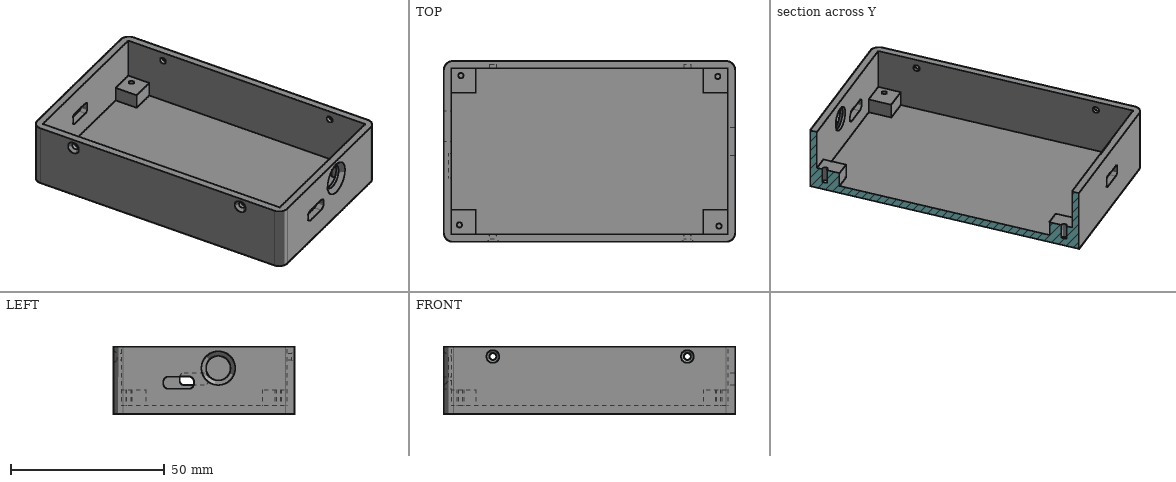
import cadquery as cq

LENGTH = 95.0
WIDTH = 59.0
HEIGHT = 22.0
CORNER_RADIUS = 3.0
WALL = 2.5
FLOOR = 2.9

POST_SIDE = 8.0
POST_HEIGHT = 5.0
POST_HOLE_DIAMETER = 1.7
POST_HOLE_DEPTH = POST_HEIGHT
POST_HOLE_CENTRES = [(-41.9, 24.7), (41.8, 24.4), (-42.4, -23.9), (42.2, -24.3)]

LID_SCREW_SPACING = 63.4
LID_SCREW_OFFSET = 0.2
LID_SCREW_DROP = 3.2
LID_SCREW_DIAMETER = 2.2
LID_SCREW_HEAD_DIAMETER = 4.2
LID_SCREW_SINK_DEPTH = 1.0

PORT_Y = -4.7
PORT_Z = 15.0
PORT_DIAMETER = 8.0
PORT_MOUTH_DIAMETER = 11.0
PORT_SINK_DEPTH = 1.5

SLOT_HEIGHT = 4.0
LEFT_SLOT_LENGTH = 10.0
LEFT_SLOT_CORNER_RADIUS = 1.7
LEFT_SLOT_Y = 8.3
LEFT_SLOT_Z = 10.3
RIGHT_SLOT_LENGTH = 9.0
RIGHT_SLOT_CORNER_RADIUS = 1.1
RIGHT_SLOT_Y = 3.3
RIGHT_SLOT_Z = 11.6

CAVITY_LENGTH = LENGTH - 2 * WALL
CAVITY_WIDTH = WIDTH - 2 * WALL


def box_shell():
    body = cq.Workplane("XY").box(LENGTH, WIDTH, HEIGHT, centered=(True, True, False))
    body = body.edges("|Z").fillet(CORNER_RADIUS)
    cavity = cq.Workplane("XY", origin=(0, 0, FLOOR)).rect(CAVITY_LENGTH, CAVITY_WIDTH).extrude(HEIGHT)
    return body.cut(cavity)


def corner_posts():
    return (
        cq.Workplane("XY", origin=(0, 0, FLOOR))
        .rect(CAVITY_LENGTH - POST_SIDE, CAVITY_WIDTH - POST_SIDE, forConstruction=True)
        .vertices()
        .rect(POST_SIDE, POST_SIDE)
        .extrude(POST_HEIGHT)
    )


def post_holes():
    return (
        cq.Workplane("XY", origin=(0, 0, FLOOR + POST_HEIGHT))
        .pushPoints(POST_HOLE_CENTRES)
        .circle(POST_HOLE_DIAMETER / 2)
        .extrude(-POST_HOLE_DEPTH)
    )


def countersunk_hole(mouth_centre, inward, diameter, mouth_diameter, sink_depth):
    """Cutter for one wall: a cone narrowing from the outer face, then a plain bore."""
    centre = cq.Vector(*mouth_centre)
    direction = cq.Vector(*inward)
    cone = cq.Solid.makeCone(mouth_diameter / 2, diameter / 2, sink_depth, centre, direction)
    bore = cq.Solid.makeCylinder(diameter / 2, WALL, centre, direction)
    return cq.Workplane(cone.fuse(bore))


def end_slot(wall_side, length, corner_radius, y, z):
    """Cutter for a slot through the end wall on the given side (-1 or +1) of X."""
    wall_middle = wall_side * (LENGTH - WALL) / 2
    return (
        cq.Workplane("YZ", origin=(wall_middle, y, z))
        .box(length, SLOT_HEIGHT, 2 * WALL)
        .edges("|X")
        .fillet(corner_radius)
    )


result = box_shell().union(corner_posts()).cut(post_holes())

for wall_side in (-1, 1):
    for end_side in (-1, 1):
        screw_x = LID_SCREW_OFFSET + end_side * LID_SCREW_SPACING / 2
        screw_mouth = (screw_x, wall_side * WIDTH / 2, HEIGHT - LID_SCREW_DROP)
        screw_hole = countersunk_hole(
            screw_mouth,
            (0, -wall_side, 0),
            LID_SCREW_DIAMETER,
            LID_SCREW_HEAD_DIAMETER,
            LID_SCREW_SINK_DEPTH,
        )
        result = result.cut(screw_hole)

port_mouth = (-LENGTH / 2, PORT_Y, PORT_Z)
result = result.cut(
    countersunk_hole(port_mouth, (1, 0, 0), PORT_DIAMETER, PORT_MOUTH_DIAMETER, PORT_SINK_DEPTH)
)

result = result.cut(end_slot(-1, LEFT_SLOT_LENGTH, LEFT_SLOT_CORNER_RADIUS, LEFT_SLOT_Y, LEFT_SLOT_Z))
result = result.cut(end_slot(1, RIGHT_SLOT_LENGTH, RIGHT_SLOT_CORNER_RADIUS, RIGHT_SLOT_Y, RIGHT_SLOT_Z))